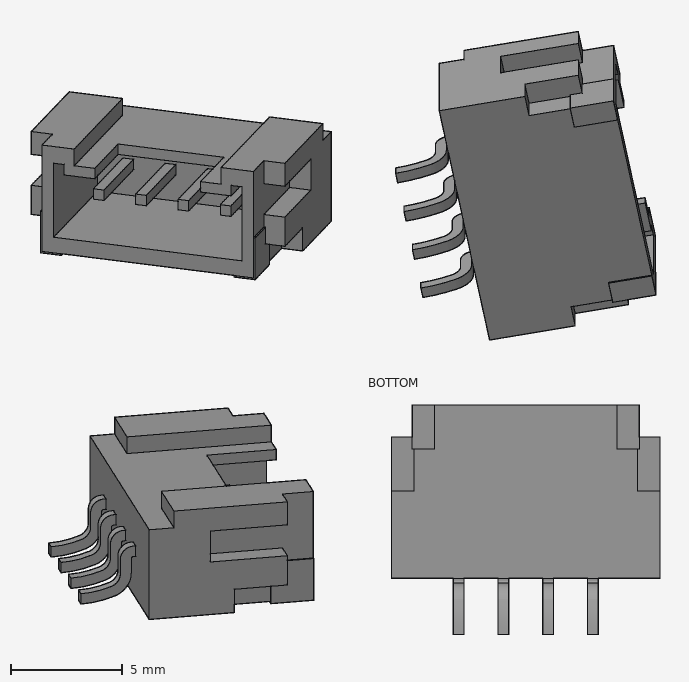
import cadquery as cq
import math


width = 12.0
depth = 7.75
height = 5.1
deck_height = 4.3
ear_rear = 6.62
ear_gap = 6.95

shroud_width = 10.0
wing_front = 1.42
side_slot_rear = 4.95
side_slot_bottom = 2.52
side_slot_top = 4.0
foot_notch_rear = 3.85
foot_notch_height = 1.12

cavity_width = 8.9
cavity_floor = 0.75
cavity_depth = 6.0
roof_thickness = 0.5
roof_width = 7.9
window_width = 5.0
window_depth = 3.18

pin_count = 4
pin_pitch = 2.0
pin_size = 0.5
pin_axis_z = 2.25
pin_tip_y = 1.98
pin_drop_y = 8.2
pin_end_y = 10.26
upper_bend_radius = 0.35
lower_bend_radius = 0.85
lower_bend_angle = math.radians(71)

tab_thickness = 0.08
tab_length = 1.97
tab_height = 1.92
tab_inner_x = 4.08

board_z = -tab_thickness


def box(x_min, x_max, y_min, y_max, z_min, z_max):
    size = (x_max - x_min, y_max - y_min, z_max - z_min)
    return cq.Workplane("XY").box(*size, centered=False).translate((x_min, y_min, z_min))


def centred_box(x_size, y_min, y_max, z_min, z_max):
    return box(-x_size / 2, x_size / 2, y_min, y_max, z_min, z_max)


def both_sides(shape):
    return shape.union(shape.mirror("YZ"))


def pin_positions():
    first = -pin_pitch * (pin_count - 1) / 2
    return [first + index * pin_pitch for index in range(pin_count)]


def make_outer_block():
    block = centred_box(shroud_width, 0, depth, 0, height)
    block = block.union(centred_box(width, wing_front, depth, 0, height))
    block = block.cut(centred_box(ear_gap, 0, depth, deck_height, height))
    return block.cut(centred_box(width, ear_rear, depth, deck_height, height))


def make_wing_cuts():
    inner = shroud_width / 2
    outer = width / 2
    slot = box(inner, outer, wing_front, side_slot_rear, side_slot_bottom, side_slot_top)
    foot_notch = box(inner, outer, wing_front, foot_notch_rear, 0, foot_notch_height)
    return both_sides(slot.union(foot_notch))


def make_cavity():
    ceiling = deck_height - roof_thickness
    cavity = centred_box(cavity_width, 0, cavity_depth, cavity_floor, ceiling)
    key_groove = box(roof_width / 2, cavity_width / 2, 0, cavity_depth, ceiling, deck_height)
    window = centred_box(window_width, 0, window_depth, ceiling, deck_height)
    return cavity.union(both_sides(key_groove)).union(window)


def make_pin_holes():
    hole = centred_box(
        pin_size, cavity_depth, depth, pin_axis_z - pin_size / 2, pin_axis_z + pin_size / 2
    )
    holes = cq.Workplane("XY")
    for x in pin_positions():
        holes = holes.add(hole.translate((x, 0, 0)))
    return holes.combine()


def make_housing():
    return make_outer_block().cut(make_wing_cuts()).cut(make_cavity()).cut(make_pin_holes())


def make_pin(x):
    end_z = board_z + pin_size / 2
    bend_run = lower_bend_radius * (1 - math.cos(lower_bend_angle))
    bend_drop = lower_bend_radius * math.sin(lower_bend_angle)
    foot_run = pin_end_y - pin_drop_y - bend_run
    foot_radius = foot_run / math.cos(lower_bend_angle)
    foot_drop = foot_radius * (1 - math.sin(lower_bend_angle))
    foot_start = (pin_drop_y + bend_run, end_z + foot_drop)

    path = (
        cq.Workplane("YZ", origin=(x, 0, 0))
        .moveTo(pin_tip_y, pin_axis_z)
        .lineTo(pin_drop_y - upper_bend_radius, pin_axis_z)
        .tangentArcPoint((pin_drop_y, pin_axis_z - upper_bend_radius), relative=False)
        .lineTo(pin_drop_y, foot_start[1] + bend_drop)
        .tangentArcPoint(foot_start, relative=False)
        .tangentArcPoint((pin_end_y, end_z), relative=False)
    )
    section = cq.Workplane("XZ", origin=(x, pin_tip_y, pin_axis_z)).rect(pin_size, pin_size)
    return section.sweep(path)


def make_tab():
    wall = shroud_width / 2
    outer = wall + tab_thickness
    sole = box(tab_inner_x, outer, 0, tab_length, board_z, 0)
    upright = box(wall, outer, 0, wing_front, board_z, tab_height)
    low_upright = box(wall, outer, 0, tab_length, board_z, foot_notch_height)
    return sole.union(upright).union(low_upright)


housing = make_housing()
pins = [make_pin(x) for x in pin_positions()]
right_tab = make_tab()
left_tab = right_tab.mirror("YZ")

bodies = [housing, *pins, right_tab, left_tab]
result = cq.Compound.makeCompound([body.solids().val() for body in bodies])